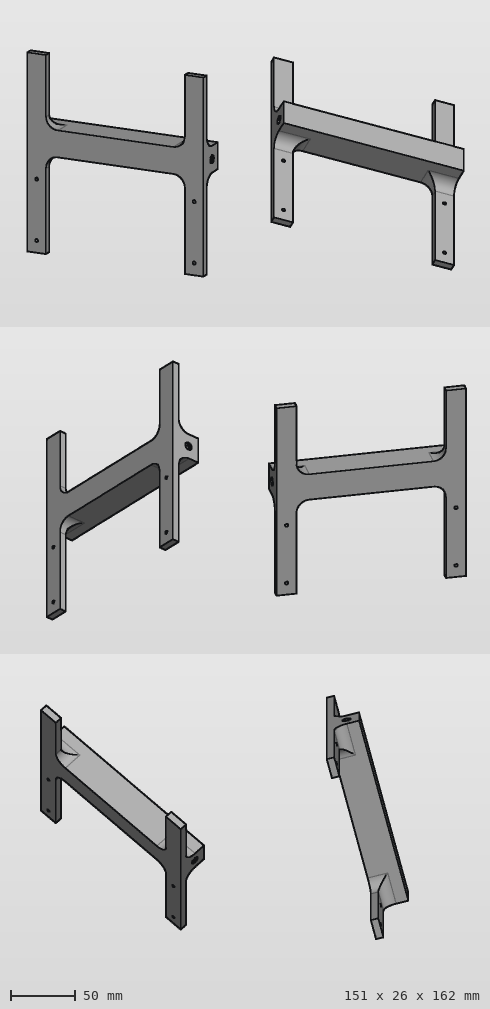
import cadquery as cq

WIDTH = 151.0
DEPTH = 26.0
HEIGHT = 162.0
LEG_WIDTH = 16.0
LEG_THICKNESS = 6.0
BAR_HEIGHT = 22.0
BAR_BOTTOM = 80.0
BLEND_RADIUS = 10.0

LEG_HOLE_DIAMETER = 2.5
LEG_HOLE_HEIGHTS = (10.0, 60.0)

BAR_HOLE_DIAMETER = 3.0
COUNTERBORE_DIAMETER = 6.5
COUNTERBORE_DEPTH = 1.5
BAR_HOLE_FROM_BACK = 10.0

SELECTION_MARGIN = 1.6

bar_top = BAR_BOTTOM + BAR_HEIGHT
bar_middle = BAR_BOTTOM + BAR_HEIGHT / 2
half_width = WIDTH / 2
leg_inner_x = half_width - LEG_WIDTH
leg_hole_x = half_width - LEG_WIDTH / 2
bar_hole_y = DEPTH - BAR_HOLE_FROM_BACK


def h_prism():
    """H outline across the full depth, with the bar blended into the legs."""
    gap_width = 2 * leg_inner_x
    upper_gap = (
        cq.Workplane("XY", origin=(0, 0, bar_top))
        .box(gap_width, 2 * DEPTH, HEIGHT, centered=(True, True, False))
        .edges("|Y and <Z")
        .fillet(BLEND_RADIUS)
    )
    lower_gap = (
        cq.Workplane("XY", origin=(0, 0, BAR_BOTTOM - HEIGHT))
        .box(gap_width, 2 * DEPTH, HEIGHT, centered=(True, True, False))
        .edges("|Y and >Z")
        .fillet(BLEND_RADIUS)
    )
    block = cq.Workplane("XY").box(WIDTH, DEPTH, HEIGHT, centered=(True, False, False))
    return block.cut(upper_gap).cut(lower_gap)


def t_prism():
    """T outline across the full width: thin legs blended into the deep bar."""
    legs = cq.Workplane("XY").box(WIDTH, LEG_THICKNESS, HEIGHT, centered=(True, False, False))
    bar = cq.Workplane("XY", origin=(0, 0, BAR_BOTTOM)).box(
        WIDTH, DEPTH, BAR_HEIGHT, centered=(True, False, False)
    )
    inner_corners = cq.selectors.BoxSelector(
        (-WIDTH, LEG_THICKNESS / 2, BAR_BOTTOM - SELECTION_MARGIN),
        (WIDTH, (LEG_THICKNESS + DEPTH) / 2, bar_top + SELECTION_MARGIN),
    )
    return legs.union(bar).edges("|X").edges(inner_corners).fillet(BLEND_RADIUS)


def leg_holes():
    """Four holes along Y through the lower legs."""
    centers = [(x, z) for x in (-leg_hole_x, leg_hole_x) for z in LEG_HOLE_HEIGHTS]
    return (
        cq.Workplane("XZ")
        .pushPoints(centers)
        .circle(LEG_HOLE_DIAMETER / 2)
        .extrude(-DEPTH)
    )


def bar_hole():
    """Hole along X through the bar, with a counterbore at each end."""
    hole = (
        cq.Workplane("YZ", origin=(-half_width, bar_hole_y, bar_middle))
        .circle(BAR_HOLE_DIAMETER / 2)
        .extrude(WIDTH)
    )
    for side in (-1, 1):
        counterbore = (
            cq.Workplane("YZ", origin=(side * half_width, bar_hole_y, bar_middle))
            .circle(COUNTERBORE_DIAMETER / 2)
            .extrude(-side * COUNTERBORE_DEPTH)
        )
        hole = hole.union(counterbore)
    return hole


result = h_prism().intersect(t_prism()).cut(leg_holes()).cut(bar_hole())